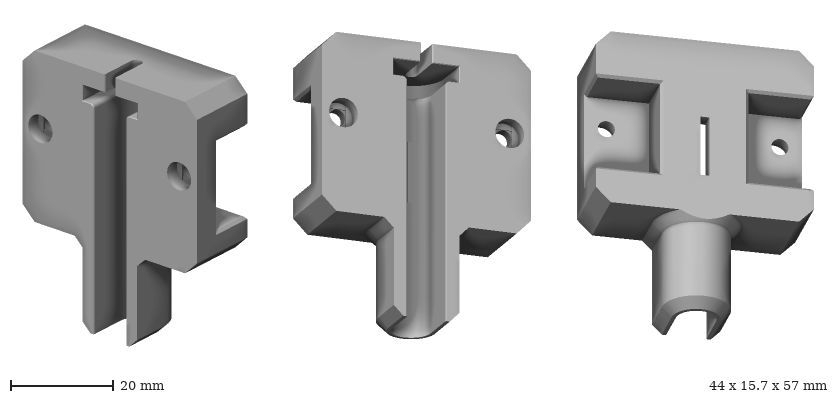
import cadquery as cq


body_width = 44.0
body_depth = 15.7
height = 57.0
half_width = body_width / 2
body_bottom = 19.95
corner_chamfer = 3.0
barrel_radius = 6.9
barrel_axis_y = 8.25
barrel_chamfer = 2.0

channel_radius = 4.05
plunger_slot_radius = 1.25
flange_bottom = 49.7
flange_top = 53.0
neck_fillet = 0.95
seat_edge_chamfer = 0.15

window_bottom = 27.95
window_top = 40.5
window_entry_width = 3.6
window_width = 1.75
window_taper_depth = 0.45

plate_thickness = 5.85
pocket_bottom = 27.55
pocket_top = 46.95
pocket_chamfer = 0.55
core_half_width = barrel_radius + barrel_chamfer

screw_x = 17.5
screw_z = 40.45
screw_diameter = 3.4
screw_head_diameter = 6.05
screw_head_depth = 3.0
bridge_layer = 0.2

margin = 0.05


def box(x_range, y_range, z_range):
    """Axis-aligned box between the given limits."""
    return (
        cq.Workplane("XY", origin=(0, 0, z_range[0]))
        .moveTo(x_range[0], y_range[0])
        .lineTo(x_range[1], y_range[0])
        .lineTo(x_range[1], y_range[1])
        .lineTo(x_range[0], y_range[1])
        .close()
        .extrude(z_range[1] - z_range[0])
    )


def round_backed_bar(radius, bottom, top, taper=0):
    """Vertical bar, flat at the front and half-round about the barrel axis."""
    return (
        cq.Workplane("XY", origin=(0, 0, bottom))
        .moveTo(-radius, 0)
        .lineTo(-radius, barrel_axis_y)
        .threePointArc((0, barrel_axis_y + radius), (radius, barrel_axis_y))
        .lineTo(radius, 0)
        .close()
        .extrude(top - bottom, taper=taper)
    )


def make_body():
    """Main block with four chamfered corners."""
    block = box((-half_width, half_width), (0, body_depth), (body_bottom, height))
    return block.edges("|Y").chamfer(corner_chamfer)


def make_barrel():
    """Barrel with a chamfered lower end and a flared shoulder under the body."""
    barrel = round_backed_bar(barrel_radius, 0, body_bottom)
    barrel = barrel.faces("<Z").edges("not <Y").chamfer(barrel_chamfer)
    shoulder = round_backed_bar(barrel_radius, body_bottom - barrel_chamfer, body_bottom, taper=-45)
    trim = box((-half_width, half_width), (0, body_depth), (0, height))
    return barrel.union(shoulder.intersect(trim))


def make_syringe_seat():
    """Channel, flange recess and plunger slot, all open at the front."""
    channel = round_backed_bar(channel_radius, 0, flange_top)
    flange = round_backed_bar(barrel_radius, flange_bottom, flange_top)
    neck = cq.selectors.BoxSelector(
        (channel_radius - margin, 0, flange_bottom - margin),
        (channel_radius + margin, barrel_axis_y, flange_bottom + margin),
    )
    seat = channel.union(flange).edges(neck).fillet(neck_fillet)
    return seat.union(round_backed_bar(plunger_slot_radius, flange_bottom, height))


def make_window():
    """Rear window: a short taper from the channel wall, then a straight slot."""
    entry_y = barrel_axis_y + (channel_radius**2 - (window_entry_width / 2) ** 2) ** 0.5
    straight_y = entry_y + window_taper_depth
    return (
        cq.Workplane("XY", origin=(0, 0, window_bottom))
        .moveTo(-window_entry_width / 2, barrel_axis_y)
        .lineTo(-window_entry_width / 2, entry_y)
        .lineTo(-window_width / 2, straight_y)
        .lineTo(-window_width / 2, body_depth)
        .lineTo(window_width / 2, body_depth)
        .lineTo(window_width / 2, straight_y)
        .lineTo(window_entry_width / 2, entry_y)
        .lineTo(window_entry_width / 2, barrel_axis_y)
        .close()
        .extrude(window_top - window_bottom)
    )


def make_screw_hole(x):
    """Counterbored hole stepping down through a slot and a square to the bore."""
    plane = cq.Workplane("XZ", origin=(x, 0, screw_z))
    slot_bottom = screw_head_depth + bridge_layer
    square_bottom = slot_bottom + bridge_layer
    head = plane.circle(screw_head_diameter / 2).extrude(-screw_head_depth)
    head_column = plane.circle(screw_head_diameter / 2).extrude(-slot_bottom)
    slot = plane.rect(screw_diameter, screw_head_diameter).extrude(-slot_bottom).intersect(head_column)
    square = plane.rect(screw_diameter, screw_diameter).extrude(-square_bottom)
    bore = plane.circle(screw_diameter / 2).extrude(-plate_thickness)
    return head.union(slot).union(square).union(bore)


def chamfer_seat_edges(part):
    """Break the front edges of the channel, flange recess and plunger slot."""
    channel_zone = cq.selectors.BoxSelector(
        (-channel_radius - margin, -margin, margin),
        (channel_radius + margin, margin, flange_bottom),
    )
    upper_zone = cq.selectors.BoxSelector(
        (-barrel_radius - margin, -margin, flange_bottom - neck_fillet),
        (barrel_radius + margin, margin, height - margin),
    )
    return part.faces("<Y").edges(channel_zone + upper_zone).chamfer(seat_edge_chamfer)


def cut_side_pockets(part):
    """Cut a pocket into each side, open to the rear, and bevel all its outer edges."""
    depth_range = (plate_thickness, body_depth)
    height_range = (pocket_bottom, pocket_top)
    part = part.cut(box((-half_width, -core_half_width), depth_range, height_range))
    part = part.cut(box((core_half_width, half_width), depth_range, height_range))
    mouth = cq.selectors.BoxSelector(
        (-half_width - margin, plate_thickness + margin, pocket_bottom - margin),
        (half_width + margin, body_depth + margin, pocket_top + margin),
    )
    rear_edges = part.faces(">Y").edges(mouth)
    side_edges = part.faces("<X or >X").edges("|Y").edges(mouth)
    return rear_edges.add(side_edges).chamfer(pocket_chamfer)


result = make_body().union(make_barrel()).cut(make_syringe_seat())
result = chamfer_seat_edges(result)
result = cut_side_pockets(result)
result = result.cut(make_window())
for side in (-1, 1):
    result = result.cut(make_screw_hole(side * screw_x))